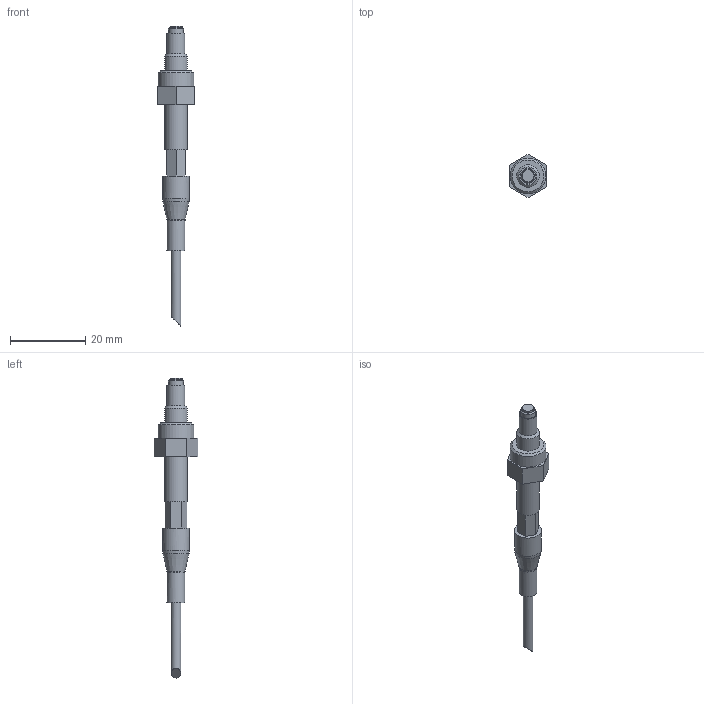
import cadquery as cq
import math

TOTAL_LENGTH = 80.0

TIP_END_DIAMETER = 3.2
TIP_DIAMETER = 4.0
PIN_DIAMETER = 4.8
BODY_DIAMETER = 6.0
COLLAR_DIAMETER = 9.5
BOOT_DIAMETER = 7.2
BOOT_TAIL_DIAMETER = 4.8
WIRE_DIAMETER = 2.6

NUT_ACROSS_FLATS = 10.0
SHANK_ACROSS_FLATS = 5.0
HEX_SIDES = 6
HALF_HEX_ANGLE = 180.0 / HEX_SIDES

TIP_TOP = 79.5
PIN_TOP = 78.0
BODY_TOP = 72.6
COLLAR_TOP = 68.0
NUT_TOP = 64.0
NUT_BOTTOM = 59.0
SHANK_TOP = 47.0
BOOT_TOP = 40.0
TAPER_TOP = 33.6
TAPER_BOTTOM = 28.3
WIRE_TOP = 20.0

TIP_CHAMFER = 0.3
COLLAR_CHAMFER = 0.5
TAPER_TOP_BLEND = 4.0
TAPER_BOTTOM_BLEND = 2.0

RIM_TOLERANCE = 0.1


def rod(diameter, bottom, top):
    """Cylinder on the Z axis between two heights."""
    return cq.Workplane("XY").workplane(offset=bottom).circle(diameter / 2).extrude(top - bottom)


def hexagon(across_flats, bottom, top):
    """Hexagonal prism on the Z axis with two flats facing +X and -X."""
    across_corners = across_flats / math.cos(math.radians(HALF_HEX_ANGLE))
    return (
        cq.Workplane("XY")
        .workplane(offset=bottom)
        .transformed(rotate=(0, 0, HALF_HEX_ANGLE))
        .polygon(HEX_SIDES, across_corners)
        .extrude(top - bottom)
    )


def contact_tip():
    """Chamfered contact tip standing on the pin, with a narrower end disc on top."""
    tip = rod(TIP_DIAMETER, PIN_TOP, TIP_TOP).faces(">Z").chamfer(TIP_CHAMFER)
    end_disc = rod(TIP_END_DIAMETER, TIP_TOP, TOTAL_LENGTH)
    return tip.union(end_disc)


def stepped_body():
    """Pin, chamfered body and collar, the nut, and the hexagonal shank below it."""
    pin = rod(PIN_DIAMETER, BODY_TOP, PIN_TOP)
    body_chamfer = (BODY_DIAMETER - PIN_DIAMETER) / 2
    body = rod(BODY_DIAMETER, SHANK_TOP, BODY_TOP).faces(">Z").chamfer(body_chamfer)
    collar = rod(COLLAR_DIAMETER, NUT_TOP, COLLAR_TOP).faces(">Z").chamfer(COLLAR_CHAMFER)
    nut = hexagon(NUT_ACROSS_FLATS, NUT_BOTTOM, NUT_TOP)
    shank = hexagon(SHANK_ACROSS_FLATS, BOOT_TOP, SHANK_TOP)
    return pin.union(body).union(collar).union(nut).union(shank)


def blend_rim(solid, height, radius):
    """Fillet the circular edge that lies at the given height."""
    low_corner = (-BOOT_DIAMETER, -BOOT_DIAMETER, height - RIM_TOLERANCE)
    high_corner = (BOOT_DIAMETER, BOOT_DIAMETER, height + RIM_TOLERANCE)
    rim = cq.selectors.BoxSelector(low_corner, high_corner)
    return solid.edges("%CIRCLE").edges(rim).fillet(radius)


def boot():
    """Strain relief boot that tapers to its tail, with both ends of the taper blended."""
    profile = (
        cq.Workplane("XZ")
        .moveTo(0, BOOT_TOP)
        .lineTo(BOOT_DIAMETER / 2, BOOT_TOP)
        .lineTo(BOOT_DIAMETER / 2, TAPER_TOP)
        .lineTo(BOOT_TAIL_DIAMETER / 2, TAPER_BOTTOM)
        .lineTo(BOOT_TAIL_DIAMETER / 2, WIRE_TOP)
        .lineTo(0, WIRE_TOP)
        .close()
    )
    solid = profile.revolve(360, (0, 0, 0), (0, 1, 0))
    solid = blend_rim(solid, TAPER_TOP, TAPER_TOP_BLEND)
    return blend_rim(solid, TAPER_BOTTOM, TAPER_BOTTOM_BLEND)


def wire():
    """Wire with its end cut at 45 degrees, so the point is on the +X side."""
    radius = WIRE_DIAMETER / 2
    waste = (
        cq.Workplane("XZ")
        .moveTo(-radius, 0)
        .lineTo(radius, 0)
        .lineTo(-radius, WIRE_DIAMETER)
        .close()
        .extrude(radius, both=True)
    )
    return rod(WIRE_DIAMETER, 0, WIRE_TOP).cut(waste)


result = stepped_body().union(contact_tip()).union(boot()).union(wire())